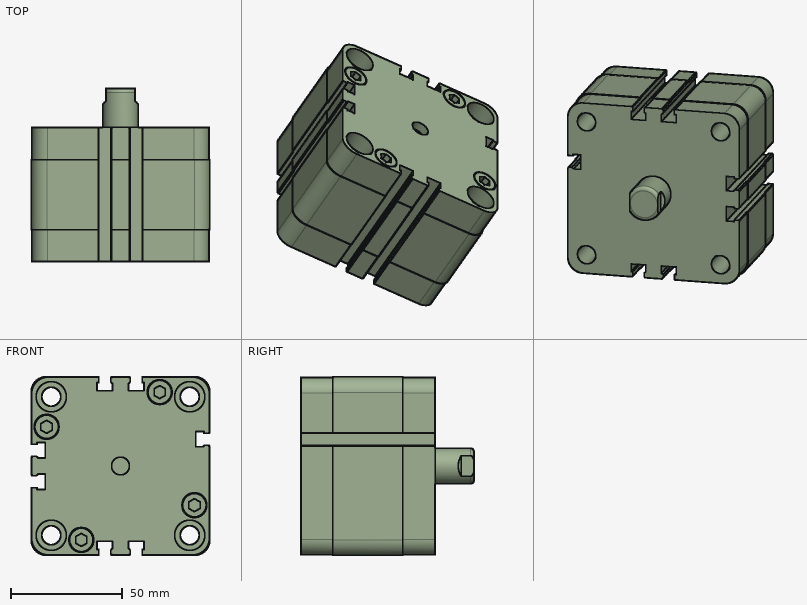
import cadquery as cq

barrel_side = 80.0
cap_side = 79.4
housing_length = 60.0
cap_length = 14.3
corner_radius = 7.0
barrel_length = housing_length - 2 * cap_length
barrel_end = cap_length + barrel_length

slot_offset = 7.0
single_slot_offset = 12.0
mouth_width = 5.3
channel_width = 6.7
channel_top = 37.3
channel_floor = 33.7
lip_chamfer = 0.6
outer_lip_chamfer = 0.2
cut_margin = 0.8

mount_offset = 31.0
mount_diameter = 8.4
mount_bore_diameter = 13.5
mount_bore_depth = 8.5

screw_long_offset = 33.0
screw_short_offset = 17.5
screw_head_diameter = 10.5
screw_recess_diameter = 11.1
screw_recess_depth = 6.4
socket_across_flats = 5.0
socket_depth = 4.0
hexagon_sides = 6

centre_hole_diameter = 8.0
centre_hole_depth = 4.2

rod_diameter = 16.0
rod_length = 17.5
rod_tip_radius = 1.8
across_flats = 13.0
flat_length = 5.7


def front_plane(y=0.0):
    """Workplane at the given Y, with local axes along X and Z and normal along -Y."""
    return cq.Workplane("XZ", origin=(0, y, 0))


def slot_cutter(centre, half_side, start, length):
    """Slot opening towards +Z, centred at a positive X, running along +Y."""
    mouth_in = centre - mouth_width / 2
    mouth_out = centre + mouth_width / 2
    channel_in = centre - channel_width / 2
    channel_out = centre + channel_width / 2
    bevel_half = (channel_width - mouth_width) / 4
    top = half_side + cut_margin
    outline = [
        (channel_in, channel_floor),
        (channel_in, channel_top - bevel_half),
        (mouth_in, channel_top + bevel_half),
        (mouth_in, half_side - lip_chamfer),
        (mouth_in - lip_chamfer, half_side),
        (mouth_in - lip_chamfer, top),
        (mouth_out + outer_lip_chamfer, top),
        (mouth_out + outer_lip_chamfer, half_side),
        (mouth_out, half_side - outer_lip_chamfer),
        (mouth_out, channel_top),
        (channel_out, channel_top),
        (channel_out, channel_floor),
    ]
    return front_plane(start).polyline(outline).close().extrude(-length)


def turn_about_rod(shape, angle):
    return shape.rotate((0, 0, 0), (0, 1, 0), angle)


def housing_section(side, start, length):
    """Rounded square block with its sensor slots."""
    section = front_plane(start).rect(side, side).extrude(-length)
    section = section.edges("|Y").fillet(corner_radius)
    slot = slot_cutter(slot_offset, side / 2, start, length)
    slot_pair = slot.union(slot.mirror("YZ"))
    for angle in (0, 180, -90):
        section = section.cut(turn_about_rod(slot_pair, angle))
    single_slot = slot_cutter(single_slot_offset, side / 2, start, length).mirror("YZ")
    return section.cut(turn_about_rod(single_slot, 90))


def piston_rod():
    tip = housing_length + rod_length
    reach = rod_diameter / 2
    rod = front_plane(barrel_end).circle(reach).extrude(barrel_end - tip)
    rod = rod.faces(">Y").edges().fillet(rod_tip_radius)
    flat_x = across_flats / 2
    flat_end = tip - flat_length
    ramp_end = flat_end - (reach - flat_x)
    flat = (
        cq.Workplane("XY")
        .polyline([(flat_x, tip), (flat_x, flat_end), (reach, ramp_end), (reach, tip)])
        .close()
        .extrude(rod_diameter, both=True)
    )
    return rod.cut(flat).cut(flat.mirror("YZ"))


result = housing_section(cap_side, 0, cap_length)
result = result.union(housing_section(barrel_side, cap_length, barrel_length))
result = result.union(housing_section(cap_side, barrel_end, cap_length))
result = result.union(piston_rod())

mount_square = front_plane().rect(2 * mount_offset, 2 * mount_offset, forConstruction=True).vertices()
result = result.cut(mount_square.circle(mount_diameter / 2).extrude(-housing_length))
result = result.cut(mount_square.circle(mount_bore_diameter / 2).extrude(-mount_bore_depth))

screw_points = [
    (-screw_long_offset, screw_short_offset),
    (screw_short_offset, screw_long_offset),
    (screw_long_offset, -screw_short_offset),
    (-screw_short_offset, -screw_long_offset),
]
screws = front_plane().pushPoints(screw_points)
head_gap = screws.circle(screw_recess_diameter / 2).circle(screw_head_diameter / 2)
result = result.cut(head_gap.extrude(-screw_recess_depth))
for x, z in screw_points:
    socket = (
        front_plane()
        .center(x, z)
        .polygon(hexagon_sides, socket_across_flats, circumscribed=True)
        .extrude(-socket_depth)
    )
    result = result.cut(socket)

result = result.cut(front_plane().circle(centre_hole_diameter / 2).extrude(-centre_hole_depth))